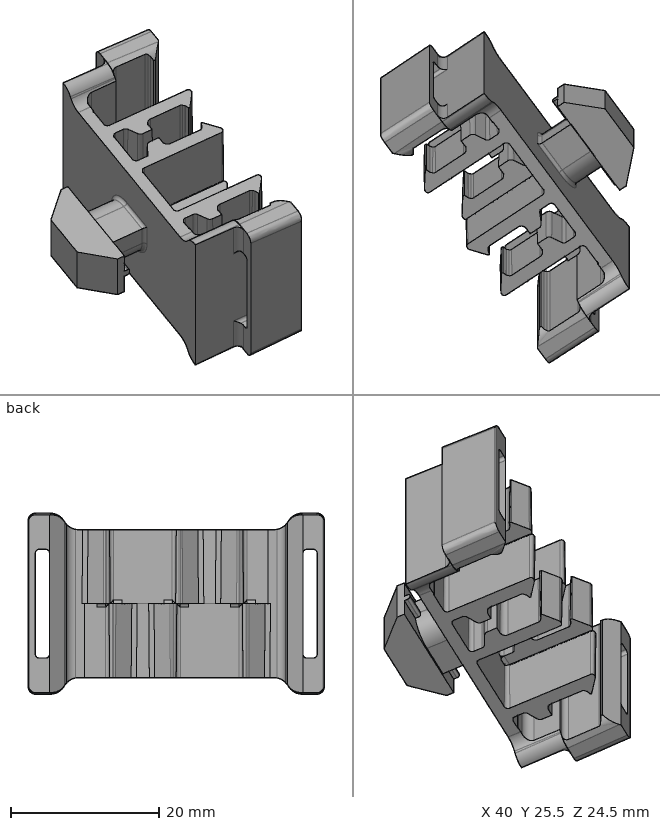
import cadquery as cq
import math

half_length = 20.0
half_height = 12.25
plate_half_height = 10.0
plate_thickness = 1.9
tip_y = 15.1
step_y = 7.0
grip_top_y = 12.1
hook_y = 13.35
hook_blunt = 0.3
hook_root_y = 12.9
hook_root_radius = 0.4
seat_radius = 0.7

wall_draft = 0.1
cap_draft = 0.25

flare_start = 14.35
flare_angle = 56.0
flare_radius = 2.25
cap_corner_radius = 1.05

wall_outer_x = 17.1
wall_top_x = 17.1
wall_hook_x = 15.05
wall_hook_root_x = 15.5
wall_grip_x = 16.0
wall_foot_x = 14.8
wall_foot_radius = 1.2
neck_radius = 0.95
cap_edge_radius = 0.15

window_outer_x = 19.0
window_half_height = 7.3
window_radius = 0.5

prong_pitch = 9.0
prong_facings = ((-prong_pitch, 1), (0.0, -1), (prong_pitch, 1))
prong_overlap = 0.1
prong_draft_angle = 0.5
prong_tip_width = 0.7
prong_tip_radius = 0.5
prong_hook_width = 3.0
prong_grip_width = 2.0
prong_seat_width = 3.7
prong_seat_low_y = 5.0
prong_seat_radius = 0.8
prong_stem_width = 1.7
prong_stem_top_y = 3.9
prong_root_radius = 0.5
prong_hook_root_width = 2.4

stem_half_width = 4.1
stem_half_height = 3.25
stem_corner_radius = 3.5
stem_root_radius = 0.5
head_half_width = 7.3
head_half_height = 3.65
head_top_y = -5.25
head_side_y = -6.3
overall_depth = 25.45
head_end_y = tip_y - overall_depth
head_end_half_width = 3.4
ridge_half_height = 0.5
ridge_top_y = -4.4
ridge_radius = 0.35


def rounded_outline(plane, corners):
    """Close the (x, y, radius) corners into an outline, rounding each by its radius."""
    count = len(corners)
    outline = plane
    for i, (x, y, radius) in enumerate(corners):
        corner = cq.Vector(x, y)
        to_last = (cq.Vector(*corners[i - 1][:2]) - corner).normalized()
        to_next = (cq.Vector(*corners[(i + 1) % count][:2]) - corner).normalized()
        half_angle = to_last.getAngle(to_next) / 2
        setback = radius / math.tan(half_angle)
        arc_depth = radius / math.sin(half_angle) - radius
        start = corner + to_last * setback
        middle = corner + (to_last + to_next).normalized() * arc_depth
        end = corner + to_next * setback
        outline = outline.moveTo(start.x, start.y) if i == 0 else outline.lineTo(start.x, start.y)
        if radius > 0:
            outline = outline.threePointArc((middle.x, middle.y), (end.x, end.y))
    return outline.close()


def mirrored(corners):
    """Corners mirrored in X, listed in the reverse order."""
    return [(-x, y, radius) for x, y, radius in reversed(corners)]


def flared_outline(plane, height):
    """Front outline of the body, with its ends reaching the given half height."""
    flare_run = (height - plate_half_height) / math.tan(math.radians(flare_angle))
    upper_right = [
        (flare_start, plate_half_height, flare_radius),
        (flare_start + flare_run, height, flare_radius),
        (half_length, height, cap_corner_radius),
    ]
    upper = mirrored(upper_right) + upper_right
    lower = [(-x, -y, radius) for x, y, radius in upper]
    return rounded_outline(plane, upper + lower)


def drafted_envelope(start_y, end_y, draft):
    """Block with the flared outline, losing the draft from its half height towards the tips."""
    start = flared_outline(cq.Workplane("XZ", origin=(0, start_y, 0)), half_height)
    start_and_end = flared_outline(start.workplane(offset=start_y - end_y), half_height - draft)
    return start_and_end.loft(ruled=True)


def end_wall():
    """Right-hand end wall with its clip hook and the cap reaching out beyond it."""
    wall_inner_x = wall_foot_x - 2 * wall_foot_radius
    corners = [
        (wall_inner_x, 0, 0),
        (wall_outer_x, 0, 0),
        (wall_outer_x, step_y, neck_radius),
        (half_length, step_y, 0),
        (half_length, tip_y, cap_edge_radius),
        (wall_top_x, tip_y, 0),
        (wall_hook_x, hook_y, 0),
        (wall_hook_x, hook_y - hook_blunt, 0),
        (wall_hook_root_x, hook_root_y, 0),
        (wall_grip_x, grip_top_y + hook_root_radius, hook_root_radius),
        (wall_grip_x, step_y, seat_radius),
        (wall_foot_x, step_y, 0),
        (wall_foot_x, plate_thickness, wall_foot_radius),
        (wall_inner_x, plate_thickness, 0),
    ]
    wall = rounded_outline(cq.Workplane("XY"), corners).extrude(half_height, both=True)
    window_corners = [
        (wall_outer_x, -window_half_height, window_radius),
        (window_outer_x, -window_half_height, window_radius),
        (window_outer_x, window_half_height, window_radius),
        (wall_outer_x, window_half_height, window_radius),
    ]
    window = rounded_outline(cq.Workplane("XZ"), window_corners).extrude(-tip_y)
    return wall.cut(window)


def prong_corners():
    """Right-facing prong outline from its flat foot, over the tip, to its hooked foot."""
    return [
        (-prong_overlap, plate_thickness, prong_root_radius),
        (-prong_overlap, tip_y, prong_tip_radius),
        (prong_tip_width, tip_y, prong_tip_radius),
        (prong_hook_width, hook_y, 0),
        (prong_hook_width, hook_y - hook_blunt, 0),
        (prong_hook_root_width, hook_root_y, 0),
        (prong_grip_width, grip_top_y + hook_root_radius, hook_root_radius),
        (prong_grip_width, step_y, seat_radius),
        (prong_seat_width, step_y, 0),
        (prong_seat_width, prong_seat_low_y, prong_seat_radius),
        (prong_stem_width, prong_stem_top_y, prong_root_radius),
        (prong_stem_width, plate_thickness, prong_root_radius),
    ]


def comb_half():
    """Upper half of the plate and prongs, slightly slimmer at the top for mould draft."""
    under_y = -plate_thickness
    corners = []
    for centre_x, facing in prong_facings:
        prong = prong_corners() if facing > 0 else mirrored(prong_corners())
        corners += [(centre_x + x, y, radius) for x, y, radius in prong]
    end_corners = [(wall_outer_x, plate_thickness, 0), (wall_outer_x, under_y, 0)]
    corners = mirrored(end_corners) + corners + end_corners
    half = rounded_outline(cq.Workplane("XY"), corners)
    half = half.extrude(plate_half_height, taper=prong_draft_angle)
    for centre_x, facing in prong_facings:
        half = half.union(prong_floor_fillet(centre_x, facing))
    return half


def prong_floor_fillet(centre_x, facing):
    """Concave fillet joining the end face of a half-height prong to the plate."""
    far_y = plate_thickness + prong_root_radius
    bend = prong_root_radius * (1 - math.sqrt(0.5))
    return (
        cq.Workplane("YZ", origin=(centre_x, 0, 0))
        .moveTo(plate_thickness, 0)
        .lineTo(far_y, 0)
        .threePointArc((plate_thickness + bend, -bend), (plate_thickness, -prong_root_radius))
        .close()
        .extrude(facing * prong_stem_width)
    )


def body():
    """Plate, prongs and end walls, trimmed to the flared and drafted height."""
    upper = comb_half()
    lower = upper.rotate((0, 0, 0), (0, 1, 0), 180)
    wall = end_wall()
    blank = upper.union(lower).union(wall).union(wall.mirror("YZ"))
    base_part = blank.intersect(drafted_envelope(0, step_y, wall_draft))
    grip_part = blank.intersect(drafted_envelope(step_y, tip_y, cap_draft))
    return base_part.union(grip_part)


def stem():
    """Stem with two opposite corners rounded, reaching from the plate into the head."""
    corners = [
        (-stem_half_width, -stem_half_height, 0),
        (stem_half_width, -stem_half_height, stem_corner_radius),
        (stem_half_width, stem_half_height, 0),
        (-stem_half_width, stem_half_height, stem_corner_radius),
    ]
    return rounded_outline(cq.Workplane("XZ"), corners).extrude(-head_side_y)


def head():
    """Cross head with bevelled ends and a ridge along the side facing the plate."""
    bar = (
        cq.Workplane("XY", origin=(0, 0, -head_half_height))
        .moveTo(-head_half_width, head_top_y)
        .lineTo(head_half_width, head_top_y)
        .lineTo(head_half_width, head_side_y)
        .lineTo(head_end_half_width, head_end_y)
        .lineTo(-head_end_half_width, head_end_y)
        .lineTo(-head_half_width, head_side_y)
        .close()
        .extrude(2 * head_half_height)
    )
    ridge_corners = [
        (head_side_y, -ridge_half_height, 0),
        (ridge_top_y, -ridge_half_height, ridge_radius),
        (ridge_top_y, ridge_half_height, ridge_radius),
        (head_side_y, ridge_half_height, 0),
    ]
    ridge_plane = cq.Workplane("YZ", origin=(-head_half_width, 0, 0))
    ridge = rounded_outline(ridge_plane, ridge_corners).extrude(2 * head_half_width)
    return bar.union(ridge)


root_zone = cq.selectors.BoxSelector(
    (-head_half_width, -stem_root_radius, -head_half_height),
    (head_half_width, stem_root_radius, head_half_height),
)
result = body().union(stem()).union(head())
result = result.edges(root_zone).fillet(stem_root_radius)